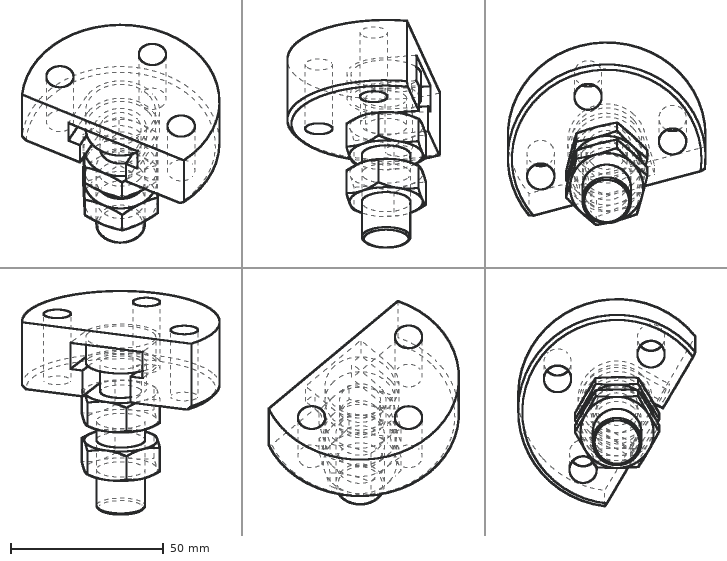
import cadquery as cq
import math


housing_diameter = 65.0
housing_height = 23.0
flat_distance = 12.5
housing_chamfer = 1.35

hole_diameter = 9.0
hole_circle_radius = 22.5
hole_angles = (0, 90, 180)

slot_top_z = -5.0
slot_ledge_z = -14.05
head_slot_width = 25.6
neck_slot_width = 17.0

head_diameter = 23.0
head_clearance = 0.2
neck_diameter = 13.5
shank_diameter = 16.0
stud_end_z = -64.2
shank_chamfer = 0.65

hex_across_flats = 24.05
hex_height = 10.2
hex_chamfer_angle = 30
collar_top_z = -24.05
nut_top_z = -40.8


def cylinder(diameter, bottom_z, top_z):
    """Cylinder on the Z axis between two heights."""
    return cq.Workplane("XY").workplane(offset=bottom_z).circle(diameter / 2).extrude(top_z - bottom_z)


def slot_cut(width, bottom_z, top_z):
    """Slot with a half-round end around the Z axis, running out through the flat."""
    straight = (
        cq.Workplane("XY")
        .workplane(offset=bottom_z)
        .center(0, -flat_distance / 2)
        .rect(width, flat_distance)
        .extrude(top_z - bottom_z)
    )
    return straight.union(cylinder(width, bottom_z, top_z))


def chamfered_hexagon(top_z):
    """Hexagonal prism with corners along X, turned to a cone at both ends."""
    corner_radius = hex_across_flats / math.sqrt(3)
    face_radius = hex_across_flats / 2
    corner_drop = (corner_radius - face_radius) * math.tan(math.radians(hex_chamfer_angle))
    bottom_z = top_z - hex_height
    prism = cq.Workplane("XY").workplane(offset=bottom_z).polygon(6, 2 * corner_radius).extrude(hex_height)
    turned_blank = (
        cq.Workplane("XZ")
        .polyline([
            (0, bottom_z),
            (face_radius, bottom_z),
            (corner_radius, bottom_z + corner_drop),
            (corner_radius, top_z - corner_drop),
            (face_radius, top_z),
            (0, top_z),
        ])
        .close()
        .revolve(360, (0, 0, 0), (0, 1, 0))
    )
    return prism.intersect(turned_blank)


def make_housing():
    disc = cylinder(housing_diameter, -housing_height, 0).faces("<Z").chamfer(housing_chamfer)
    front_waste = (
        cq.Workplane("XY")
        .center(0, -flat_distance - housing_diameter / 2)
        .rect(housing_diameter, housing_diameter)
        .extrude(-housing_height)
    )
    body = disc.cut(front_waste)
    body = body.cut(slot_cut(head_slot_width, slot_ledge_z, slot_top_z))
    body = body.cut(slot_cut(neck_slot_width, -housing_height, slot_ledge_z))
    hole = cylinder(hole_diameter, -housing_height, 0)
    for angle in hole_angles:
        x = hole_circle_radius * math.cos(math.radians(angle))
        y = hole_circle_radius * math.sin(math.radians(angle))
        body = body.cut(hole.translate((x, y, 0)))
    return body


def make_stud():
    head = cylinder(head_diameter, slot_ledge_z, slot_top_z - head_clearance)
    neck = cylinder(neck_diameter, collar_top_z, slot_ledge_z)
    shank = cylinder(shank_diameter, stud_end_z, collar_top_z - hex_height)
    shank = shank.faces("<Z").chamfer(shank_chamfer)
    return head.union(neck).union(chamfered_hexagon(collar_top_z)).union(shank)


def make_nut():
    bore = cylinder(shank_diameter, nut_top_z - hex_height, nut_top_z)
    return chamfered_hexagon(nut_top_z).cut(bore)


housing = make_housing()
stud = make_stud()
nut = make_nut()

result = cq.Compound.makeCompound([housing.val(), stud.val(), nut.val()])